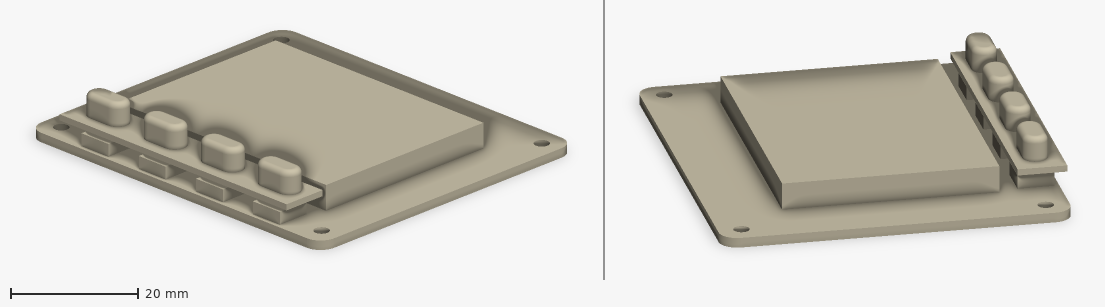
import cadquery as cq

board_length = 65.0
board_width = 56.5
board_thickness = 1.6
board_corner_radius = 3.0
hole_diameter = 2.6
hole_spacing_x = 57.9
hole_spacing_y = 48.9

display_length = 46.15
display_width = 34.9
display_height = 4.4
display_center_x = 0.85
display_center_y = -1.0

switch_size = 6.0
switch_height = 2.2
stem_diameter = 3.0
stem_height = 1.5
first_switch_x = -18.4
switch_pitch = 12.75
last_switch_pitch = 12.6
switch_y = -24.5

strip_length = 50.45
strip_width = 8.0
strip_thickness = 1.05
strip_center_x = 0.25
overall_width = 57.0
button_length = 8.05
button_width = 4.0
button_edge_radius = 1.0
overall_height = 10.4

switch_top = board_thickness + switch_height
strip_bottom = switch_top + stem_height
strip_top = strip_bottom + strip_thickness
button_height = overall_height - strip_top
strip_front_y = board_width / 2 - overall_width
strip_center_y = strip_front_y + strip_width / 2
third_switch_x = first_switch_x + 2 * switch_pitch
switch_xs = [
    first_switch_x,
    first_switch_x + switch_pitch,
    third_switch_x,
    third_switch_x + last_switch_pitch,
]


def block(length, width, height, center_x, center_y, bottom):
    """Box centred in X and Y that stands on the level `bottom`."""
    return (
        cq.Workplane("XY")
        .box(length, width, height, centered=(True, True, False))
        .translate((center_x, center_y, bottom))
    )


def make_switch(x):
    """Square switch housing with a round stem on top."""
    housing = block(switch_size, switch_size, switch_height, x, switch_y, board_thickness)
    stem = (
        cq.Workplane("XY")
        .circle(stem_diameter / 2)
        .extrude(stem_height)
        .translate((x, switch_y, switch_top))
    )
    return housing.union(stem)


def make_button(x):
    """Rounded-end button with a rounded top edge."""
    return (
        cq.Workplane("XY")
        .slot2D(button_length, button_width)
        .extrude(button_height)
        .faces(">Z")
        .edges()
        .fillet(button_edge_radius)
        .translate((x, switch_y, strip_top))
    )


def make_display_board():
    """Board with corner holes, carrying the display and the switches."""
    board = (
        block(board_length, board_width, board_thickness, 0, 0, 0)
        .edges("|Z")
        .fillet(board_corner_radius)
        .faces(">Z")
        .workplane()
        .rect(hole_spacing_x, hole_spacing_y, forConstruction=True)
        .vertices()
        .hole(hole_diameter)
    )
    display = block(
        display_length, display_width, display_height,
        display_center_x, display_center_y, board_thickness,
    )
    board = board.union(display)
    for x in switch_xs:
        board = board.union(make_switch(x))
    return board


def make_button_strip():
    """Thin strip with one button above each switch."""
    strip = block(
        strip_length, strip_width, strip_thickness,
        strip_center_x, strip_center_y, strip_bottom,
    )
    for x in switch_xs:
        strip = strip.union(make_button(x))
    return strip


display_board = make_display_board()
button_strip = make_button_strip()

result = cq.Compound.makeCompound([display_board.val(), button_strip.val()])